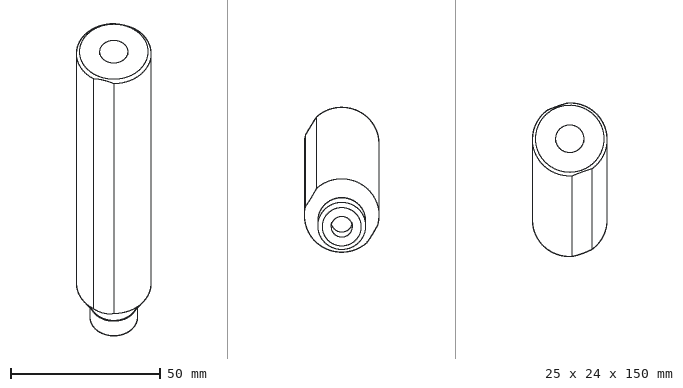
import cadquery as cq

TOTAL_LENGTH = 150.0
HANDLE_DIAMETER = 25.0
FLAT_SPACING = 24.0
HANDLE_CHAMFER = 1.0

TAPER_START = 20.1
TAPER_END = 10.2

TIP_DIAMETER = 16.0
TIP_LENGTH = 9.8
TIP_CHAMFER = 1.5

HANDLE_BORE_DIAMETER = 9.5
TIP_BORE_DIAMETER = 7.0
COUNTERSINK_ANGLE = 118.0


def make_handle():
    """Round bar with a taper that ends in a short land, two side flats and a through bore."""
    radius = HANDLE_DIAMETER / 2
    half_section = [
        (0, TIP_LENGTH),
        (TIP_DIAMETER / 2, TIP_LENGTH),
        (TIP_DIAMETER / 2, TAPER_END),
        (radius, TAPER_START),
        (radius, TOTAL_LENGTH - HANDLE_CHAMFER),
        (radius - HANDLE_CHAMFER, TOTAL_LENGTH),
        (0, TOTAL_LENGTH),
    ]
    bar = cq.Workplane("XZ").polyline(half_section).close().revolve(360, (0, 0), (0, 1))
    flat_envelope = cq.Workplane("XY").box(
        HANDLE_DIAMETER, FLAT_SPACING, TOTAL_LENGTH, centered=(True, True, False)
    )
    flattened_bar = bar.intersect(flat_envelope)
    return flattened_bar.faces(">Z").workplane(origin=(0, 0, 0)).hole(HANDLE_BORE_DIAMETER)


def make_tip():
    """Short collar with a chamfered lower rim and a countersunk through bore."""
    collar = cq.Workplane("XY").circle(TIP_DIAMETER / 2).extrude(TIP_LENGTH)
    collar = collar.faces("<Z").edges().chamfer(TIP_CHAMFER)
    return collar.faces(">Z").workplane(origin=(0, 0, 0)).cskHole(
        TIP_BORE_DIAMETER, HANDLE_BORE_DIAMETER, COUNTERSINK_ANGLE
    )


handle = make_handle()
tip = make_tip()

result = cq.Compound.makeCompound([handle.val(), tip.val()])